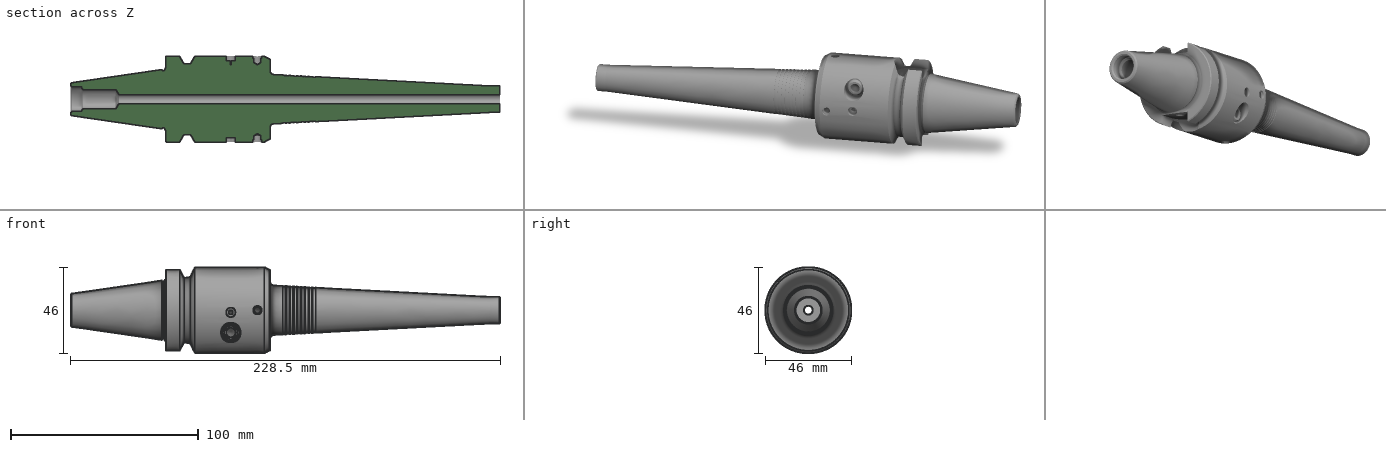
import cadquery as cq
import math

LENGTH = 228.5
BODY_D = 46.0
BODY_R = BODY_D / 2

SHANK_END_R = 9.0
SHANK_END_CHAMFER = 0.7
GAUGE_D = 31.7
GAUGE_R = GAUGE_D / 2
GAUGE_X = 48.5
UNDERCUT_R = 15.3
UNDERCUT_FLOOR = 0.7
UNDERCUT_FLANGE_R = 17.0

FLANGE_X = 50.5
FLANGE_CHAMFER = 0.5
FLANGE_END_X = 58.0
GROOVE_FLOOR_R = 19.0
GROOVE_BODY_X = 66.0
GROOVE_WALL = (BODY_R - GROOVE_FLOOR_R) * math.tan(math.radians(30))

BODY_END_X = 106.2
BODY_CHAMFER_LENGTH = 3.2
BODY_CHAMFER_DEPTH = 1.4
BODY_EDGE_ROUND = 0.7

NECK_FILLET = 1.8
NECK_D = 26.7
NECK_R = NECK_D / 2
TIP_D = 14.5
TIP_R = TIP_D / 2
TIP_LENGTH = 5.5
TIP_CHAMFER = 0.5

RING_START_X = 112.8
RING_PITCH = 2.0
RING_WIDTH = 1.4
RING_DEPTH = 0.2
RING_COUNT = 9

MOUTH_R = 7.0
MOUTH_CHAMFER = 0.7
MOUTH_DEPTH = 5.7
THREAD_R = 5.0
THREAD_CHAMFER = 1.0
THREAD_DEPTH = 24.0
COOLANT_R = 2.3

SLOT_WIDTH = 16.0
SLOT_FLOOR_Z = 16.2
SLOT_END_X = 67.1

DRILL_POINT_ANGLE = 118.0
CORE_DEPTH = 2.3
SLOT_HOLE_X = 55.3
SLOT_HOLE_D = 4.5
SLOT_HOLE_DEPTH = 1.1
SLOT_CORE_D = 2.3
BALANCE_HOLE_X = 99.4
BALANCE_HOLE_D = 4.5
BALANCE_CORE_D = 3.5
BALANCE_HOLE_DEPTH = 1.1
BALANCE_HOLE_COUNT = 4
SIDE_X = 85.2
SIDE_HOLE_D = 5.0
SIDE_CORE_D = 2.3
SIDE_HOLE_Z = -1.1
SIDE_HOLE_DEPTH = 2.3
SCREW_Z = -11.9
SCREW_POCKET_D = 10.5
SCREW_POCKET_Y = 15.0
SCREW_HEAD_Y = 16.5
SCREW_HEAD_D = 9.0
SCREW_HEAD_TOP_D = 7.0
SCREW_SOCKET_D = 5.0
SCREW_SOCKET_DEPTH = 2.3

INWARD = cq.Vector(0, 1, 0)


def nose_radius(x):
    """Radius of the nose cone at position x."""
    cone_end = LENGTH - TIP_LENGTH
    return NECK_R + (TIP_R - NECK_R) * (x - BODY_END_X) / (cone_end - BODY_END_X)


def outer_shape():
    """Solid of revolution with the taper, flange, body and nose."""
    undercut_x = GAUGE_X + GAUGE_R - UNDERCUT_R
    neck_x = BODY_END_X + NECK_FILLET
    chamfer_r = BODY_R - BODY_CHAMFER_DEPTH
    profile = (
        cq.Workplane("XY")
        .moveTo(0, 0)
        .lineTo(0, SHANK_END_R - SHANK_END_CHAMFER)
        .lineTo(SHANK_END_CHAMFER, SHANK_END_R)
        .lineTo(GAUGE_X, GAUGE_R)
        .lineTo(undercut_x, UNDERCUT_R)
        .lineTo(undercut_x + UNDERCUT_FLOOR, UNDERCUT_R)
        .lineTo(FLANGE_X, UNDERCUT_FLANGE_R)
        .lineTo(FLANGE_X, BODY_R - FLANGE_CHAMFER)
        .lineTo(FLANGE_X + FLANGE_CHAMFER, BODY_R)
        .lineTo(FLANGE_END_X, BODY_R)
        .lineTo(FLANGE_END_X + GROOVE_WALL, GROOVE_FLOOR_R)
        .lineTo(GROOVE_BODY_X - GROOVE_WALL, GROOVE_FLOOR_R)
        .lineTo(GROOVE_BODY_X, BODY_R)
        .lineTo(BODY_END_X - BODY_CHAMFER_LENGTH, BODY_R)
        .lineTo(BODY_END_X - BODY_EDGE_ROUND, chamfer_r)
        .radiusArc((BODY_END_X, chamfer_r - BODY_EDGE_ROUND), BODY_EDGE_ROUND)
        .lineTo(BODY_END_X, nose_radius(neck_x) + NECK_FILLET)
        .radiusArc((neck_x, nose_radius(neck_x)), -NECK_FILLET)
        .lineTo(LENGTH - TIP_LENGTH, TIP_R)
        .lineTo(LENGTH - TIP_CHAMFER, TIP_R)
        .lineTo(LENGTH, TIP_R - TIP_CHAMFER)
        .lineTo(LENGTH, 0)
        .close()
    )
    return profile.revolve(360, (0, 0, 0), (1, 0, 0))


def nose_rings():
    """Shallow square grooves, each following the cone of the nose."""
    rings = cq.Workplane("XY")
    for i in range(RING_COUNT):
        start = RING_START_X + i * RING_PITCH
        end = start + RING_WIDTH
        ring = (
            cq.Workplane("XY")
            .moveTo(start, nose_radius(start) - RING_DEPTH)
            .lineTo(start, BODY_R)
            .lineTo(end, BODY_R)
            .lineTo(end, nose_radius(end) - RING_DEPTH)
            .close()
            .revolve(360, (0, 0, 0), (1, 0, 0))
        )
        rings = rings.add(ring)
    return rings.combine()


def point_length(radius):
    """Height of the conical drill point for a given radius drop."""
    return radius / math.tan(math.radians(DRILL_POINT_ANGLE / 2))


def shank_bore():
    """Mouth, threaded length and coolant hole running through to the tip."""
    point = point_length(THREAD_R - COOLANT_R)
    profile = (
        cq.Workplane("XY")
        .moveTo(0, 0)
        .lineTo(0, MOUTH_R)
        .lineTo(MOUTH_CHAMFER, MOUTH_R - MOUTH_CHAMFER)
        .lineTo(MOUTH_DEPTH, MOUTH_R - MOUTH_CHAMFER)
        .lineTo(MOUTH_DEPTH, THREAD_R + THREAD_CHAMFER)
        .lineTo(MOUTH_DEPTH + THREAD_CHAMFER, THREAD_R)
        .lineTo(THREAD_DEPTH, THREAD_R)
        .lineTo(THREAD_DEPTH + point, COOLANT_R)
        .lineTo(LENGTH, COOLANT_R)
        .lineTo(LENGTH, 0)
        .close()
    )
    return profile.revolve(360, (0, 0, 0), (1, 0, 0))


def drive_slot():
    """Slot on the +Z side: open at the flange face, round at the body end."""
    end_center_x = SLOT_END_X - SLOT_WIDTH / 2
    return (
        cq.Workplane("XY", origin=(0, 0, SLOT_FLOOR_Z))
        .moveTo(GAUGE_X, -SLOT_WIDTH / 2)
        .lineTo(end_center_x, -SLOT_WIDTH / 2)
        .threePointArc((SLOT_END_X, 0), (end_center_x, SLOT_WIDTH / 2))
        .lineTo(GAUGE_X, SLOT_WIDTH / 2)
        .close()
        .extrude(BODY_R)
    )


def drill(x, z, floor_y, diameter):
    """Drill running along Y from the -Y side, with a conical point below floor_y."""
    radius = diameter / 2
    start = cq.Vector(x, -BODY_R, z)
    floor = cq.Vector(x, -floor_y, z)
    shaft = cq.Solid.makeCylinder(radius, BODY_R - floor_y, start, INWARD)
    point = cq.Solid.makeCone(radius, 0, point_length(radius), floor, INWARD)
    return cq.Workplane(shaft).union(cq.Workplane(point))


def stepped_hole(x, z, floor_y, diameter, core_diameter):
    """Flat-bottomed hole with a narrower drilled core."""
    wide = cq.Solid.makeCylinder(
        diameter / 2, BODY_R - floor_y, cq.Vector(x, -BODY_R, z), INWARD
    )
    return cq.Workplane(wide).union(drill(x, z, floor_y - CORE_DEPTH, core_diameter))


def screw_pocket():
    """Round pocket that leaves a conical screw head with a drilled socket."""
    pocket = cq.Solid.makeCylinder(
        SCREW_POCKET_D / 2, BODY_R - SCREW_POCKET_Y, cq.Vector(SIDE_X, -BODY_R, SCREW_Z), INWARD
    )
    head = cq.Solid.makeCone(
        SCREW_HEAD_TOP_D / 2,
        SCREW_HEAD_D / 2,
        SCREW_HEAD_Y - SCREW_POCKET_Y,
        cq.Vector(SIDE_X, -SCREW_HEAD_Y, SCREW_Z),
        INWARD,
    )
    socket = drill(SIDE_X, SCREW_Z, SCREW_HEAD_Y - SCREW_SOCKET_DEPTH, SCREW_SOCKET_D)
    return cq.Workplane(pocket).cut(cq.Workplane(head)).union(socket)


def turned(shape, angle):
    """Copy of a shape turned about the holder axis."""
    return shape.rotate((0, 0, 0), (1, 0, 0), angle)


result = outer_shape().cut(nose_rings()).cut(shank_bore())

slot_hole_floor = SLOT_FLOOR_Z - SLOT_HOLE_DEPTH
slot_hole = turned(stepped_hole(SLOT_HOLE_X, 0, slot_hole_floor, SLOT_HOLE_D, SLOT_CORE_D), -90)
side_hole = stepped_hole(SIDE_X, SIDE_HOLE_Z, BODY_R - SIDE_HOLE_DEPTH, SIDE_HOLE_D, SIDE_CORE_D)
for angle in (0, 180):
    for feature in (drive_slot(), slot_hole, side_hole, screw_pocket()):
        result = result.cut(turned(feature, angle))

balance_hole = stepped_hole(
    BALANCE_HOLE_X, 0, BODY_R - BALANCE_HOLE_DEPTH, BALANCE_HOLE_D, BALANCE_CORE_D
)
for i in range(BALANCE_HOLE_COUNT):
    result = result.cut(turned(balance_hole, i * 360 / BALANCE_HOLE_COUNT))